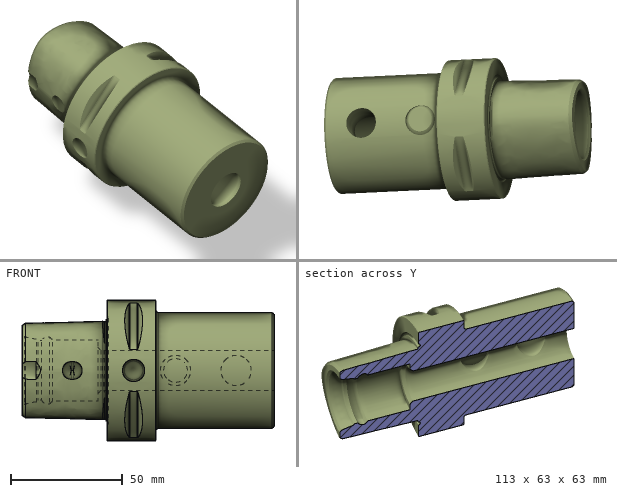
import cadquery as cq
import math

overall_length = 113.0

shank_length = 35.9
shank_radius = 22.0
lobe_height = 1.5
taper_slope = 1 / 40
nose_chamfer_length = 1.5
nose_chamfer_depth = 1.0
outline_points = 60

flange_start = 38.0
flange_end = 60.0
flange_diameter = 63.0
flange_chamfer = 0.3

neck_radius = 21.9
neck_start = 36.8
neck_bevel_height = 1.8
ring_radius = 22.7
ring_height = 0.3
ring_start = flange_start - ring_height
face_groove_radius = 24.2
face_groove_depth = 0.8

body_diameter = 52.0
body_fillet = 1.0
body_chamfer_length = 1.0
body_chamfer_depth = 1.0

mouth_radius = 16.2
mouth_chamfer = 1.0
entry_radius = mouth_radius - mouth_chamfer
lip_radius = 13.3
lip_front = 7.1
lip_chamfer = 0.7
lip_back = 8.8
groove_radius = 15.0
groove_end = 12.3
bore_radius = 13.7
bore_depth = 33.9
through_radius = 8.9
through_chamfer = 1.5

slot_offset = 12.0
slot_x = flange_start + slot_offset
slot_count = 4
first_slot_angle = 45.0
slot_floor_distance = 27.9
slot_floor_width = 3.2
slot_corner_width = 4.0
slot_corner_height = 0.2
slot_top_width = 8.0

drill_point_angle = 118.0
flange_hole_radius = 5.0
flange_hole_depth = 4.9
flange_hole_bevel = 0.8
shank_hole_x = 22.5
shank_hole_radius = 4.0
shank_hole_travel = 0.9
shank_hole_bottom = 16.3
notch_radius = 5.5
notch_floor_distance = 17.9
notch_length = 6.2

screw_x = 68.7
screw_hole_spacing = 27.1
screw_hole_positions = [screw_x, screw_x + screw_hole_spacing]
screw_radius = 6.8
screw_chamfer = 1.5
screw_length = 15.8
screw_top = body_diameter / 2


def revolve_about_x(profile):
    """Revolve a closed (x, radius) sketch about the X axis."""
    return profile.close().revolve(360, (0, 0, 0), (1, 0, 0))


def polygon_outline(mean_radius):
    """Points of the three-lobed curve whose support function is R + e*cos(3a)."""
    points = []
    for i in range(outline_points):
        angle = 2 * math.pi * i / outline_points
        support = mean_radius + lobe_height * math.cos(3 * angle)
        slope = -3 * lobe_height * math.sin(3 * angle)
        y = support * math.cos(angle) - slope * math.sin(angle)
        z = support * math.sin(angle) + slope * math.cos(angle)
        points.append((y, z))
    return points


def polygon_loft(x_start, radius_start, x_end, radius_end):
    """Solid between two three-lobed sections."""
    return (
        cq.Workplane("YZ", origin=(x_start, 0, 0))
        .spline(polygon_outline(radius_start), periodic=True)
        .close()
        .workplane(offset=x_end - x_start)
        .spline(polygon_outline(radius_end), periodic=True)
        .close()
        .loft(ruled=True)
    )


def make_shank():
    taper_start_radius = shank_radius - taper_slope * (shank_length - nose_chamfer_length)
    nose = polygon_loft(
        0, taper_start_radius - nose_chamfer_depth, nose_chamfer_length, taper_start_radius
    )
    taper = polygon_loft(nose_chamfer_length, taper_start_radius, shank_length, shank_radius)
    root = polygon_loft(shank_length, shank_radius, flange_end, shank_radius)
    return nose.union(taper).union(root)


def make_lobe_relief():
    """Ring that trims the lobes to a round neck just before the flange."""
    outer = flange_diameter / 2
    return revolve_about_x(
        cq.Workplane("XY")
        .moveTo(shank_length, outer)
        .lineTo(shank_length, neck_radius + neck_bevel_height)
        .lineTo(neck_start, neck_radius)
        .lineTo(ring_start, neck_radius)
        .lineTo(ring_start, outer)
    )


def make_turned_body():
    """Flange and cylindrical body, with the ring and groove at the flange face."""
    flange_radius = flange_diameter / 2
    body_radius = body_diameter / 2
    groove_middle_radius = (ring_radius + face_groove_radius) / 2
    fillet_offset = body_fillet * (1 - math.sqrt(0.5))
    return revolve_about_x(
        cq.Workplane("XY")
        .moveTo(ring_start, 0)
        .lineTo(ring_start, ring_radius)
        .threePointArc(
            (flange_start + face_groove_depth, groove_middle_radius),
            (flange_start, face_groove_radius),
        )
        .lineTo(flange_start, flange_radius - flange_chamfer)
        .lineTo(flange_start + flange_chamfer, flange_radius)
        .lineTo(flange_end - flange_chamfer, flange_radius)
        .lineTo(flange_end, flange_radius - flange_chamfer)
        .lineTo(flange_end, body_radius + body_fillet)
        .threePointArc(
            (flange_end + fillet_offset, body_radius + fillet_offset),
            (flange_end + body_fillet, body_radius),
        )
        .lineTo(overall_length - body_chamfer_length, body_radius)
        .lineTo(overall_length, body_radius - body_chamfer_depth)
        .lineTo(overall_length, 0)
    )


def make_bore():
    """Stepped bore: flared entry, lip, rounded groove, main bore and through hole."""
    groove_middle_x = lip_back + (groove_end - lip_back) * (1 - math.sqrt(0.5))
    groove_middle_radius = lip_radius + (groove_radius - lip_radius) * math.sqrt(0.5)
    return revolve_about_x(
        cq.Workplane("XY")
        .moveTo(0, 0)
        .lineTo(0, mouth_radius)
        .lineTo(mouth_chamfer, entry_radius)
        .lineTo(lip_front - lip_chamfer, lip_radius + lip_chamfer)
        .lineTo(lip_front, lip_radius)
        .lineTo(lip_back, lip_radius)
        .threePointArc((groove_middle_x, groove_middle_radius), (groove_end, groove_radius))
        .lineTo(groove_end + groove_radius - bore_radius, bore_radius)
        .lineTo(bore_depth, bore_radius)
        .lineTo(bore_depth, through_radius + through_chamfer)
        .lineTo(bore_depth + through_chamfer, through_radius)
        .lineTo(overall_length, through_radius)
        .lineTo(overall_length, 0)
    )


def make_gripper_slot(angle):
    """Straight slot with sloped walls, tangent to the flange at the given angle."""
    slot_mouth = flange_diameter / 2
    floor_half = slot_floor_width / 2
    corner_half = slot_corner_width / 2
    corner_distance = slot_floor_distance + slot_corner_height
    top_half = slot_top_width / 2
    return (
        cq.Workplane("XY")
        .moveTo(slot_x - floor_half, slot_floor_distance)
        .lineTo(slot_x + floor_half, slot_floor_distance)
        .lineTo(slot_x + corner_half, corner_distance)
        .lineTo(slot_x + top_half, slot_mouth)
        .lineTo(slot_x - top_half, slot_mouth)
        .lineTo(slot_x - corner_half, corner_distance)
        .close()
        .extrude(flange_diameter / 2, both=True)
        .rotate((0, 0, 0), (1, 0, 0), angle)
    )


def drill_tip(radius, bottom):
    """Distance of the drill point from the axis."""
    return bottom - radius / math.tan(math.radians(drill_point_angle / 2))


def make_drilled_hole(x, radius, top, bottom):
    """Blind hole from the -Y side between two distances from the axis, with a drill point."""
    tip = drill_tip(radius, bottom)
    return (
        cq.Workplane("XY")
        .moveTo(x, -top)
        .lineTo(x + radius, -top)
        .lineTo(x + radius, -bottom)
        .lineTo(x, -tip)
        .close()
        .revolve(360, (x, 0, 0), (x, 1, 0))
    )


def make_flange_hole():
    """Blind hole whose wall narrows over a short bevel to its drill point."""
    top = flange_diameter / 2
    wall_end = top - flange_hole_depth
    bevel_end = wall_end - flange_hole_bevel
    point_radius = flange_hole_radius - flange_hole_bevel
    wall = (
        cq.Workplane("XY")
        .moveTo(slot_x, -top)
        .lineTo(slot_x + flange_hole_radius, -top)
        .lineTo(slot_x + flange_hole_radius, -wall_end)
        .lineTo(slot_x + point_radius, -bevel_end)
        .lineTo(slot_x, -bevel_end)
        .close()
        .revolve(360, (slot_x, 0, 0), (slot_x, 1, 0))
    )
    return wall.union(make_drilled_hole(slot_x, point_radius, wall_end, bevel_end))


def make_shank_hole():
    """Slightly elongated blind hole: a drilled hole swept a short way along X."""
    tip = drill_tip(shank_hole_radius, shank_hole_bottom)
    x_start = shank_hole_x - shank_hole_travel / 2
    x_end = shank_hole_x + shank_hole_travel / 2
    hole = (
        cq.Workplane("YZ", origin=(x_start, 0, 0))
        .moveTo(-tip, 0)
        .lineTo(-shank_hole_bottom, shank_hole_radius)
        .lineTo(-shank_radius, shank_hole_radius)
        .lineTo(-shank_radius, -shank_hole_radius)
        .lineTo(-shank_hole_bottom, -shank_hole_radius)
        .close()
        .extrude(shank_hole_travel)
    )
    for x in (x_start, x_end):
        hole = hole.union(make_drilled_hole(x, shank_hole_radius, shank_radius, shank_hole_bottom))
    return hole


def make_nose_notch():
    """Round-bottomed notch along X with a 45 degree conical end."""
    axis_y = -(notch_floor_distance + notch_radius)
    return (
        cq.Workplane("XY")
        .moveTo(0, axis_y)
        .lineTo(0, axis_y + notch_radius)
        .lineTo(notch_length, axis_y + notch_radius)
        .lineTo(notch_length + notch_radius, axis_y)
        .close()
        .revolve(360, (0, axis_y, 0), (1, axis_y, 0))
    )


def make_screw_hole(x):
    return cq.Workplane("XZ", origin=(x, 0, 0)).circle(screw_radius).extrude(-flange_diameter / 2)


def make_housing():
    housing = make_shank().cut(make_lobe_relief()).union(make_turned_body())
    housing = housing.cut(make_bore())
    for i in range(slot_count):
        housing = housing.cut(make_gripper_slot(first_slot_angle + i * 360 / slot_count))
    housing = housing.cut(make_flange_hole())
    housing = housing.cut(make_shank_hole())
    housing = housing.cut(make_nose_notch())
    for x in screw_hole_positions:
        housing = housing.cut(make_screw_hole(x))
    return housing


def make_clamping_screw():
    """Headless screw with a chamfered outer end, flush with the body."""
    return (
        cq.Workplane("XZ", origin=(screw_x, screw_top, 0))
        .circle(screw_radius)
        .extrude(screw_length)
        .faces(">Y")
        .chamfer(screw_chamfer)
    )


housing = make_housing()
clamping_screw = make_clamping_screw()

result = cq.Compound.makeCompound([housing.val(), clamping_screw.val()])